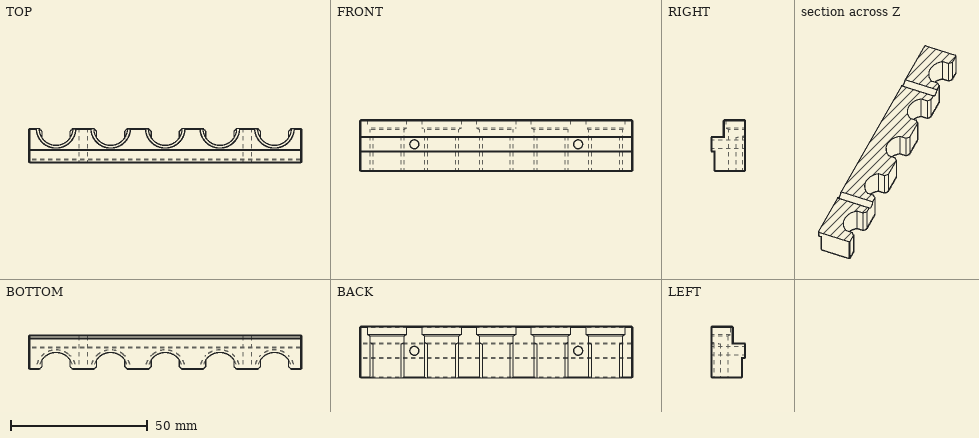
import cadquery as cq

length = 100.0
depth = 12.7
height = 19.0
edge_chamfer = 0.4

tongue_projection = 1.1
tongue_bottom = 7.1
tongue_top = 12.9
upper_setback = 4.5

hole_diameter = 3.2
hole_inset = 20.0
hole_height = (tongue_bottom + tongue_top) / 2

seat_count = 5
seat_pitch = length / seat_count
mouth_radius = 7.2
mouth_flare = 0.1
mouth_flare_depth = 0.3
mouth_depth = 3.0
seat_radius = 6.2
shoulder_drop = 0.6

lip_half_gap = 5.1
lip_top = 13.0
lip_drop = 0.6
lip_reach = seat_radius - lip_half_gap


def make_rail():
    """Stepped bar with every convex edge chamfered."""
    bar = (
        cq.Workplane("YZ")
        .moveTo(tongue_projection, 0)
        .lineTo(depth, 0)
        .lineTo(depth, height)
        .lineTo(upper_setback, height)
        .lineTo(upper_setback, tongue_top)
        .lineTo(0, tongue_top)
        .lineTo(0, tongue_bottom)
        .lineTo(tongue_projection, tongue_bottom)
        .close()
        .extrude(length)
    )
    end_edges = bar.faces("<X or >X").edges()
    outer_edges = bar.edges("|X and (>Y or <Y or >Z or <Z)")
    return bar.newObject(end_edges.vals() + outer_edges.vals()).chamfer(edge_chamfer)


def make_seat():
    """Cutter for one seat, centred on X = 0: flared mouth, conical shoulder, narrower seat."""
    shoulder_top = height - mouth_depth
    cutter = (
        cq.Workplane("XZ")
        .lineTo(seat_radius, 0)
        .lineTo(seat_radius, shoulder_top - shoulder_drop)
        .lineTo(mouth_radius, shoulder_top)
        .lineTo(mouth_radius, height - mouth_flare_depth)
        .lineTo(mouth_radius + mouth_flare, height)
        .lineTo(0, height)
        .close()
        .revolve(360, (0, 0, 0), (0, 1, 0))
        .translate((0, depth, 0))
    )
    lip = make_lip()
    return cutter.cut(lip).cut(lip.mirror("YZ"))


def make_lip():
    """Lip on the +X side of a seat, with a sloping top and a bevelled back corner."""
    plan = (
        cq.Workplane("XY")
        .moveTo(lip_half_gap, 0)
        .lineTo(lip_half_gap, depth - lip_reach)
        .lineTo(seat_radius, depth)
        .lineTo(seat_radius, 0)
        .close()
        .extrude(lip_top)
    )
    slope = (
        cq.Workplane("XZ")
        .moveTo(lip_half_gap, 0)
        .lineTo(seat_radius, 0)
        .lineTo(seat_radius, lip_top)
        .lineTo(lip_half_gap, lip_top - lip_drop)
        .close()
        .extrude(-depth)
    )
    return plan.intersect(slope)


result = make_rail()

for index in range(seat_count):
    seat_x = (index + 0.5) * seat_pitch
    result = result.cut(make_seat().translate((seat_x, 0, 0)))

for hole_x in (hole_inset, length - hole_inset):
    hole = (
        cq.Workplane("XZ")
        .center(hole_x, hole_height)
        .circle(hole_diameter / 2)
        .extrude(-depth)
    )
    result = result.cut(hole)